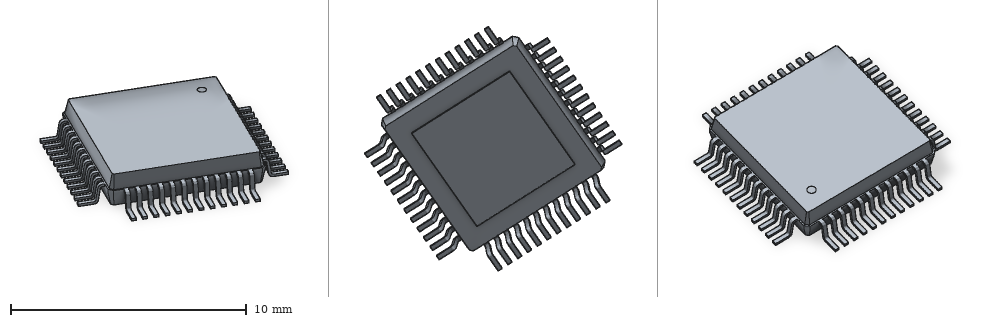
import cadquery as cq
import math


overall_width = 9.32
overall_height = 1.6

leads_per_side = 12
lead_row_span = 5.5
lead_pitch = lead_row_span / (leads_per_side - 1)
lead_width = 0.205
lead_thickness = 0.12
shoulder_height = 0.92
foot_length = 0.68
bend_inner_radius = 0.08
bend_outer_radius = bend_inner_radius + lead_thickness
leg_lean = math.radians(9.0)
lead_root = 3.355

standoff = lead_thickness
band_top = shoulder_height
band_bottom = band_top - lead_thickness
band_width = 7.01
corner_chamfer = 0.2
upper_ledge = 0.07
draft_angle = 12.0

pad_width = 5.005

mark_diameter = 0.39
mark_offset = 2.39
mark_depth = 0.01


def chamfered_square(width, chamfer):
    return cq.Sketch().rect(width, width).vertices().chamfer(chamfer)


def make_body():
    band = (
        cq.Workplane("XY", origin=(0, 0, band_bottom))
        .placeSketch(chamfered_square(band_width, corner_chamfer))
        .extrude(band_top - band_bottom)
    )
    lower = (
        cq.Workplane("XY", origin=(0, 0, band_bottom))
        .placeSketch(chamfered_square(band_width, corner_chamfer))
        .extrude(standoff - band_bottom, taper=draft_angle)
    )
    upper_width = band_width - 2 * upper_ledge
    upper_chamfer = corner_chamfer - upper_ledge * (2 - math.sqrt(2))
    upper = (
        cq.Workplane("XY", origin=(0, 0, band_top))
        .placeSketch(chamfered_square(upper_width, upper_chamfer))
        .extrude(overall_height - band_top, taper=draft_angle)
    )
    return band.union(lower).union(upper)


def make_thermal_pad():
    return cq.Workplane("XY").rect(pad_width, pad_width).extrude(standoff)


def make_lead():
    """Lead on the +X side, centred on the X axis."""
    bend_angle = math.pi / 2 - leg_lean
    bend_radii = bend_inner_radius + bend_outer_radius
    straight_rise = shoulder_height - bend_radii * (1 - math.cos(bend_angle)) - lead_thickness
    leg_run = bend_radii * math.sin(bend_angle) + straight_rise * math.tan(leg_lean)

    toe = overall_width / 2
    heel = toe - foot_length
    shoulder = heel - leg_run
    heel_centre_z = bend_outer_radius
    shoulder_centre_z = shoulder_height - bend_outer_radius

    def heel_point(radius, angle):
        return (heel - radius * math.sin(angle), heel_centre_z - radius * math.cos(angle))

    def shoulder_point(radius, angle):
        return (shoulder + radius * math.sin(angle), shoulder_centre_z + radius * math.cos(angle))

    half_bend = bend_angle / 2
    return (
        cq.Workplane("XZ")
        .moveTo(toe, 0)
        .lineTo(heel, 0)
        .threePointArc(heel_point(bend_outer_radius, half_bend), heel_point(bend_outer_radius, bend_angle))
        .lineTo(*shoulder_point(bend_inner_radius, bend_angle))
        .threePointArc(shoulder_point(bend_inner_radius, half_bend), shoulder_point(bend_inner_radius, 0))
        .lineTo(lead_root, band_bottom)
        .lineTo(lead_root, band_top)
        .lineTo(shoulder, band_top)
        .threePointArc(
            shoulder_point(bend_outer_radius, half_bend),
            shoulder_point(bend_outer_radius, bend_angle),
        )
        .lineTo(*heel_point(bend_inner_radius, bend_angle))
        .threePointArc(heel_point(bend_inner_radius, half_bend), heel_point(bend_inner_radius, 0))
        .lineTo(toe, lead_thickness)
        .close()
        .extrude(lead_width / 2, both=True)
    )


def make_leads():
    lead = make_lead().val()
    leads = []
    for side_angle in (0, 90, 180, 270):
        for index in range(leads_per_side):
            along_row = index * lead_pitch - lead_row_span / 2
            placed = lead.translate(cq.Vector(0, along_row, 0))
            leads.append(placed.rotate(cq.Vector(0, 0, 0), cq.Vector(0, 0, 1), side_angle))
    return leads


def make_pin_mark():
    return (
        cq.Workplane("XY", origin=(-mark_offset, mark_offset, overall_height - mark_depth))
        .circle(mark_diameter / 2)
        .extrude(mark_depth)
    )


body = make_body().union(make_thermal_pad()).cut(make_pin_mark())
result = cq.Workplane(body.val().fuse(*make_leads()).clean())